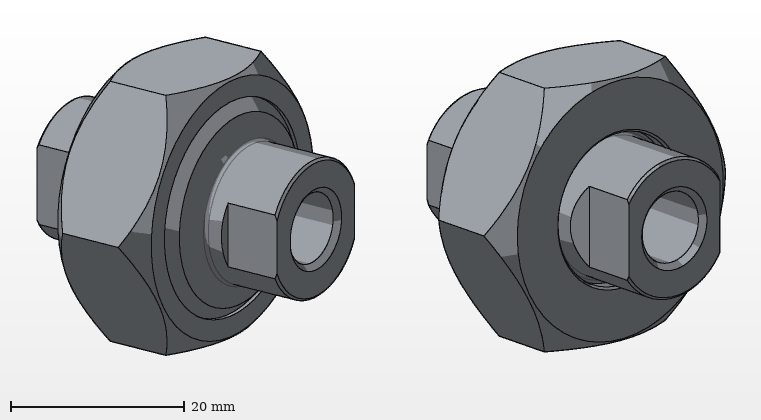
import cadquery as cq
import math

total_length = 35.0
bore_dia = 8.57
bore_chamfer = 0.7
neck_radius = 17 / 2
neck_end_chamfer = 0.3
chamber_radius = 26.4 / 2

nut_start = 9.55
nut_width = 13.45
nut_end = nut_start + nut_width
corner_dia = 36.95
corner_radius = corner_dia / 2
nut_face_radius = 15.75
nut_bevel = corner_radius - nut_face_radius
nut_lip = 2.0
nut_bore_radius = 18.5 / 2
nut_bore_chamfer = 0.3

flange_start = nut_start + nut_lip
joint_x = 16.25
tail_fillet = 0.37
tail_flat_half_width = 6.95
tail_flat_end = 7.0
tail_runout_angle = 45.0

collar_bevel_start = 22.43
collar_bevel_end = 23.98
collar_bevel_radius = chamber_radius - (collar_bevel_end - collar_bevel_start)
cone_end = 25.5
head_fillet = 0.5
head_flat_half_width = 7.55
head_flat_start = 27.97
head_runout_angle = 16.0

cut_clearance = 0.37
select_margin = 0.05


def revolve_about_x(points):
    """Turn a closed (x, radius) outline about the X axis."""
    return cq.Workplane("XY").polyline(points).close().revolve(360, (0, 0, 0), (1, 0, 0))


def passage(mouth_x, inner_x):
    """Through hole from an outer mouth to the joint, with a 45 degree mouth chamfer."""
    radius = bore_dia / 2
    inward = math.copysign(bore_chamfer, inner_x - mouth_x)
    return revolve_about_x([
        (mouth_x, 0),
        (mouth_x, radius + bore_chamfer),
        (mouth_x + inward, radius),
        (inner_x, radius),
        (inner_x, 0),
    ])


def fillet_neck_root(body, root_x, radius):
    """Round the inner corner where the neck meets its shoulder at root_x."""
    reach = neck_radius + cut_clearance
    neck_root = cq.selectors.BoxSelector(
        (root_x - select_margin, -reach, -reach),
        (root_x + select_margin, reach, reach),
        boundingbox=True,
    )
    return body.edges(neck_root).edges("%CIRCLE").fillet(radius)


def flat_cutters(end_x, shoulder_x, half_width, runout_angle):
    """Two blocks that cut wrench flats on +Y and -Y, each with a sloping shoulder."""
    outer_y = neck_radius + cut_clearance
    runout = (outer_y - half_width) * math.tan(math.radians(runout_angle))
    outer_shoulder_x = shoulder_x + math.copysign(runout, shoulder_x - end_x)
    cutter = (
        cq.Workplane("XY")
        .polyline([
            (end_x, half_width),
            (shoulder_x, half_width),
            (outer_shoulder_x, outer_y),
            (end_x, outer_y),
        ])
        .close()
        .extrude(neck_radius, both=True)
    )
    return cutter.union(cutter.mirror("XZ"))


def make_nut():
    hexagon = (
        cq.Workplane("YZ", origin=(nut_start, 0, 0))
        .polygon(6, corner_dia)
        .extrude(nut_width)
    )
    bevelled_blank = revolve_about_x([
        (nut_start, 0),
        (nut_start, nut_face_radius),
        (nut_start + nut_bevel, corner_radius),
        (nut_end - nut_bevel, corner_radius),
        (nut_end, nut_face_radius),
        (nut_end, 0),
    ])
    cavity = revolve_about_x([
        (nut_start, 0),
        (nut_start, nut_bore_radius + nut_bore_chamfer),
        (nut_start + nut_bore_chamfer, nut_bore_radius),
        (flange_start, nut_bore_radius),
        (flange_start, chamber_radius),
        (nut_end, chamber_radius),
        (nut_end, 0),
    ])
    return hexagon.intersect(bevelled_blank).cut(cavity)


def make_tail_piece():
    body = revolve_about_x([
        (0, 0),
        (0, neck_radius - neck_end_chamfer),
        (neck_end_chamfer, neck_radius),
        (flange_start, neck_radius),
        (flange_start, chamber_radius),
        (joint_x, chamber_radius),
        (joint_x, 0),
    ])
    body = fillet_neck_root(body, flange_start, tail_fillet)
    flats = flat_cutters(0, tail_flat_end, tail_flat_half_width, tail_runout_angle)
    return body.cut(flats).cut(passage(0, joint_x))


def make_head_piece():
    body = revolve_about_x([
        (joint_x, 0),
        (joint_x, chamber_radius),
        (collar_bevel_start, chamber_radius),
        (collar_bevel_end, collar_bevel_radius),
        (cone_end, neck_radius),
        (total_length - neck_end_chamfer, neck_radius),
        (total_length, neck_radius - neck_end_chamfer),
        (total_length, 0),
    ])
    body = fillet_neck_root(body, cone_end, head_fillet)
    flats = flat_cutters(total_length, head_flat_start, head_flat_half_width, head_runout_angle)
    return body.cut(flats).cut(passage(total_length, joint_x))


nut = make_nut()
tail_piece = make_tail_piece()
head_piece = make_head_piece()

result = cq.Compound.makeCompound([nut.val(), tail_piece.val(), head_piece.val()])